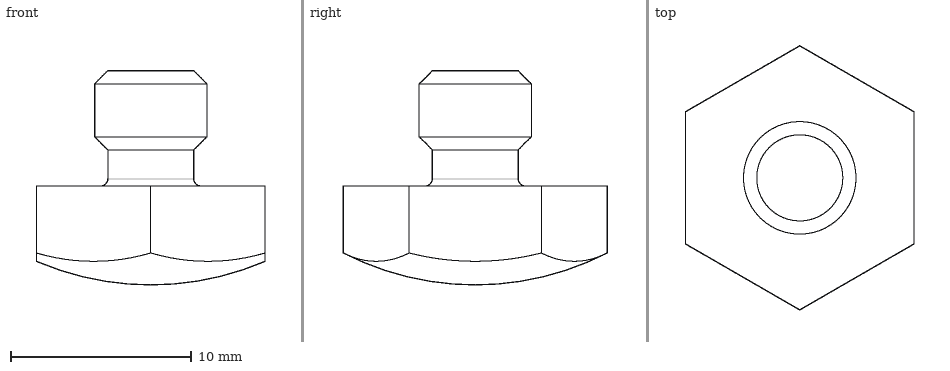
import cadquery as cq
import math

head_across_corners = 14.66
head_height = 5.5
dome_radius = 16.0

total_height = 11.89
stud_radius = 3.12
neck_radius = 2.39
neck_length = 2.0
neck_fillet = 0.4
chamfer = stud_radius - neck_radius


def make_head():
    """Hexagonal prism with corners on Y, cut below by a sphere touching Z = 0."""
    prism = (
        cq.Workplane("XY")
        .polygon(6, head_across_corners)
        .extrude(head_height)
        .rotate((0, 0, 0), (0, 0, 1), 90)
    )
    dome = cq.Workplane("XY").sphere(dome_radius).translate((0, 0, dome_radius))
    return prism.intersect(dome)


def make_stud():
    """Turned neck and chamfered stud, with a concave fillet at the head."""
    fillet_top = head_height + neck_fillet
    neck_top = head_height + neck_length
    fillet_offset = neck_fillet * (1 - math.sqrt(0.5))
    return (
        cq.Workplane("XZ")
        .moveTo(0, head_height)
        .lineTo(neck_radius + neck_fillet, head_height)
        .threePointArc(
            (neck_radius + fillet_offset, head_height + fillet_offset),
            (neck_radius, fillet_top),
        )
        .lineTo(neck_radius, neck_top)
        .lineTo(stud_radius, neck_top + chamfer)
        .lineTo(stud_radius, total_height - chamfer)
        .lineTo(neck_radius, total_height)
        .lineTo(0, total_height)
        .close()
        .revolve(360, (0, 0, 0), (0, 1, 0))
    )


result = make_head().union(make_stud())